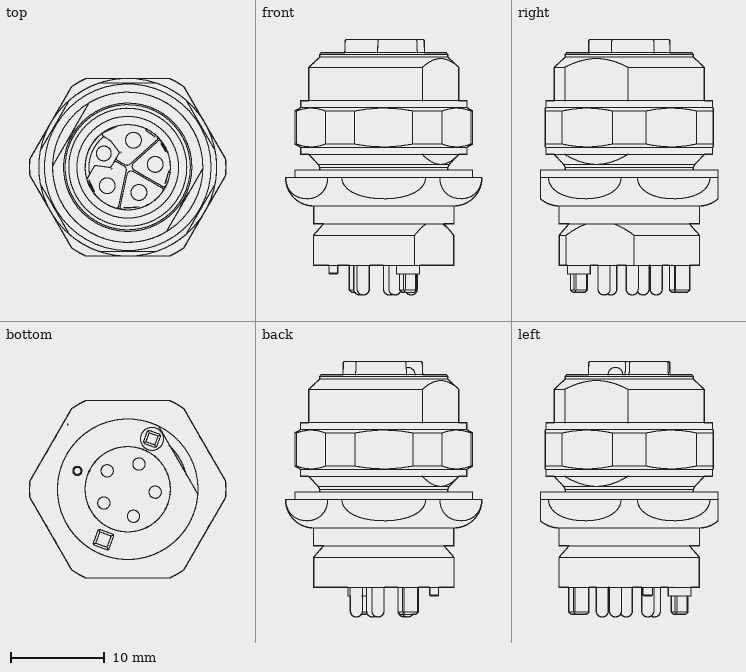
import cadquery as cq
import math


TAB_BOTTOM = 0.3
STUB_BOTTOM = 2.25
HOUSING_BOTTOM = 3.17
REAR_THREAD_TOP = 6.4
LOWER_RING_BOTTOM = 7.62
FLANGE_BOTTOM = 9.5
FLANGE_TOP = 12.55
SEAL_TOP = 13.38
NECK_TOP = 13.62
UNDERCUT_TOP = 13.92
NUT_BOTTOM = 15.02
NUT_TOP = 20.78
THREAD_TOP = 24.32
NOSE_BOTTOM = 25.42
RIM_TOP = 25.88
INSERT_TOP = 27.3

THREAD_RADIUS = 8.03
THREAD_FLAT = 7.02
REAR_THREAD_RADIUS = 7.5
REAR_FLAT = 6.22
FLAT_ANGLE = -30.0
NOSE_RADIUS = 6.85
UNDERCUT_RADIUS = 7.0
REAR_NECK_RADIUS = 6.45
RIM_CHAMFER = 0.16
BORE_RADIUS = 5.43
BORE_MOUTH_RADIUS = 6.3
BORE_MOUTH_DEPTH = 1.1
FLANGE_ACROSS_FLATS = 19.0
FLANGE_DIAMETER = 21.0
FLANGE_RADIUS = FLANGE_DIAMETER / 2

NUT_ACROSS_FLATS = 17.95
NUT_RADIUS = FLANGE_ACROSS_FLATS / 2
NUT_COLLAR_RADIUS = 8.9
NUT_COLLAR_HEIGHT = 0.76
NUT_CHAMFER_ANGLE = 30.0

INSERT_TOP_RADIUS = 4.35
DRAFT_ANGLE = 1.5
SOCKET_DEPTH = 8.2
SLOT_WIDTH = 0.5
SLOT_DEPTH = 6.28
WEDGE_TIP_RADIUS = 0.5
EDGE_RADIUS = 0.2
CORNER_RADIUS = 0.22
POCKET_DEPTH = 7.37
POCKET_FLOOR_RADIUS = 4.15
POCKET_INNER = 1.36
POCKET_SHOULDER = 2.95
POCKET_INNER_HALF_WIDTH = 1.06
POCKET_SHOULDER_HALF_WIDTH = 1.72
POCKET_OUTER_HALF_WIDTH = 1.85

CONTACT_COUNT = 5
CONTACT_CIRCLE_RADIUS = 2.95
PIN_ANGLE = 150.0
PIN_RADIUS = 0.8
PIN_SETBACK = 0.63
PIN_TOP = INSERT_TOP - PIN_SETBACK
SOCKET_HOLE_RADIUS = 0.85
SOCKET_HOLE_DEPTH = 6.0
TAIL_RADIUS = 0.65

TAB_X = 2.6
TAB_Y = -5.38
TAB_TURN = 20.0
TAB_END_CHAMFER = 0.25
SMALL_TAB_SIDE = 1.5
SMALL_TAB_CORNER = 0.16
TAB_COLLAR_RADIUS = 1.23
LARGE_TAB_SIDE = 1.77
LARGE_TAB_CORNER = 0.1
PEG_X = -5.38
PEG_Y = -1.97
PEG_RADIUS = 0.5
PEG_CHAMFER = 0.1

DRAFT_SLOPE = math.tan(math.radians(DRAFT_ANGLE))
SOCKET_FLOOR = INSERT_TOP - SOCKET_DEPTH
INSERT_BASE_RADIUS = INSERT_TOP_RADIUS + SOCKET_DEPTH * DRAFT_SLOPE
CONTACT_PITCH = 360.0 / CONTACT_COUNT
FLAT_CUTTER_SIZE = 27.3


def revolved(points):
    """Solid of revolution about Z from a closed list of (radius, z) points."""
    return cq.Workplane("XZ").polyline(points).close().revolve(360, (0, 0), (0, 1))


def cylinder(radius, bottom, top, x=0.0, y=0.0):
    return cq.Workplane("XY", origin=(x, y, bottom)).circle(radius).extrude(top - bottom)


def tube(outer_radius, inner_radius, bottom, top):
    return cylinder(outer_radius, bottom, top).cut(cylinder(inner_radius, bottom, top))


def hex_prism(across_flats, bottom, top):
    """Hexagon with flats facing +Y and -Y."""
    corner_diameter = across_flats / math.cos(math.pi / 6)
    return cq.Workplane("XY", origin=(0, 0, bottom)).polygon(6, corner_diameter).extrude(top - bottom)


def outside_flat(distance, angle, bottom, top):
    """Block that removes everything farther than distance from the axis towards angle."""
    size = FLAT_CUTTER_SIZE
    block = cq.Workplane("XY", origin=(0, 0, bottom)).rect(size, size).extrude(top - bottom)
    return block.translate((distance + size / 2, 0, 0)).rotate((0, 0, 0), (0, 0, 1), angle)


def make_flange():
    """Hexagonal flange whose underside is rounded by a revolved arc."""
    curve_radius = FLANGE_RADIUS - REAR_THREAD_RADIUS
    drop = FLANGE_TOP - FLANGE_BOTTOM
    arc_mid = (
        REAR_THREAD_RADIUS + curve_radius * math.sqrt(0.5),
        FLANGE_TOP - drop * math.sqrt(0.5),
    )
    dome = (
        cq.Workplane("XZ")
        .moveTo(0, FLANGE_BOTTOM)
        .lineTo(REAR_THREAD_RADIUS, FLANGE_BOTTOM)
        .threePointArc(arc_mid, (FLANGE_RADIUS, FLANGE_TOP))
        .lineTo(0, FLANGE_TOP)
        .close()
        .revolve(360, (0, 0), (0, 1))
    )
    return dome.intersect(hex_prism(FLANGE_ACROSS_FLATS, FLANGE_BOTTOM, FLANGE_TOP))


def make_tab(x, y, side, corner):
    """Square solder tab with bevelled corners and a bevelled end."""
    length = HOUSING_BOTTOM - TAB_BOTTOM
    blank = cq.Workplane("XY", origin=(0, 0, TAB_BOTTOM)).rect(side, side).extrude(length)
    bevelled_end = blank.faces("<Z").chamfer(TAB_END_CHAMFER)
    tab = blank.edges("|Z").chamfer(corner).intersect(bevelled_end)
    return tab.rotate((0, 0, 0), (0, 0, 1), TAB_TURN).translate((x, y, 0))


def make_housing():
    front_thread = revolved(
        [
            (0, FLANGE_TOP),
            (NOSE_RADIUS, FLANGE_TOP),
            (NOSE_RADIUS, NECK_TOP),
            (UNDERCUT_RADIUS, UNDERCUT_TOP),
            (THREAD_RADIUS, NUT_BOTTOM),
            (THREAD_RADIUS, THREAD_TOP),
            (NOSE_RADIUS, NOSE_BOTTOM),
            (NOSE_RADIUS, RIM_TOP - RIM_CHAMFER),
            (NOSE_RADIUS - RIM_CHAMFER, RIM_TOP),
            (0, RIM_TOP),
        ]
    )
    for angle in (FLAT_ANGLE, FLAT_ANGLE + 180):
        front_thread = front_thread.cut(outside_flat(THREAD_FLAT, angle, FLANGE_TOP, RIM_TOP))

    rear_thread = revolved(
        [
            (0, HOUSING_BOTTOM),
            (REAR_THREAD_RADIUS, HOUSING_BOTTOM),
            (REAR_THREAD_RADIUS, REAR_THREAD_TOP),
            (REAR_NECK_RADIUS, LOWER_RING_BOTTOM),
            (REAR_NECK_RADIUS, FLANGE_BOTTOM),
            (0, FLANGE_BOTTOM),
        ]
    )
    rear_thread = rear_thread.cut(outside_flat(REAR_FLAT, FLAT_ANGLE, HOUSING_BOTTOM, LOWER_RING_BOTTOM))

    socket = revolved(
        [
            (0, SOCKET_FLOOR),
            (BORE_RADIUS, SOCKET_FLOOR),
            (BORE_RADIUS, RIM_TOP - BORE_MOUTH_DEPTH),
            (BORE_MOUTH_RADIUS, RIM_TOP),
            (0, RIM_TOP),
        ]
    )
    insert_seat = cylinder(INSERT_BASE_RADIUS, HOUSING_BOTTOM, SOCKET_FLOOR)

    small_tab = make_tab(TAB_X, TAB_Y, SMALL_TAB_SIDE, SMALL_TAB_CORNER)
    tab_collar = cylinder(TAB_COLLAR_RADIUS, STUB_BOTTOM, HOUSING_BOTTOM, TAB_X, TAB_Y)
    large_tab = make_tab(-TAB_X, -TAB_Y, LARGE_TAB_SIDE, LARGE_TAB_CORNER)
    peg = cylinder(PEG_RADIUS, STUB_BOTTOM, HOUSING_BOTTOM, PEG_X, PEG_Y).faces("<Z").chamfer(PEG_CHAMFER)

    housing = front_thread.union(make_flange()).union(rear_thread).cut(socket).cut(insert_seat)
    for board_feature in (small_tab, tab_collar, large_tab, peg):
        housing = housing.union(board_feature)
    return housing


def make_nut():
    """Hexagon nut with rounded corners, bevelled ends and a round collar at each end."""
    hex_bottom = NUT_BOTTOM + NUT_COLLAR_HEIGHT
    hex_top = NUT_TOP - NUT_COLLAR_HEIGHT
    bevel = (NUT_RADIUS - NUT_COLLAR_RADIUS) * math.tan(math.radians(NUT_CHAMFER_ANGLE))
    blank = revolved(
        [
            (THREAD_RADIUS, NUT_BOTTOM),
            (NUT_COLLAR_RADIUS, NUT_BOTTOM),
            (NUT_COLLAR_RADIUS, hex_bottom),
            (NUT_RADIUS, hex_bottom + bevel),
            (NUT_RADIUS, hex_top - bevel),
            (NUT_COLLAR_RADIUS, hex_top),
            (NUT_COLLAR_RADIUS, NUT_TOP),
            (THREAD_RADIUS, NUT_TOP),
        ]
    )
    return blank.intersect(hex_prism(NUT_ACROSS_FLATS, NUT_BOTTOM, NUT_TOP))


def make_flange_seal():
    return tube(FLANGE_ACROSS_FLATS / 2, NOSE_RADIUS, FLANGE_TOP, SEAL_TOP)


def make_lower_ring():
    return tube(REAR_THREAD_RADIUS, REAR_NECK_RADIUS, LOWER_RING_BOTTOM, FLANGE_BOTTOM)


def drafted_slot(angle):
    """Radial slot from the axis outwards, narrowing with the draft towards its floor."""
    half_top = SLOT_WIDTH / 2
    half_floor = half_top - SLOT_DEPTH * DRAFT_SLOPE
    floor = INSERT_TOP - SLOT_DEPTH
    section = [(-half_top, INSERT_TOP), (half_top, INSERT_TOP), (half_floor, floor), (-half_floor, floor)]
    slot = cq.Workplane("YZ").polyline(section).close().extrude(BORE_RADIUS)
    return slot.rotate((0, 0, 0), (0, 0, 1), angle)


def key_pocket():
    """Pocket round the pin: flared sides, with a wider key step on one side only."""
    outer = BORE_RADIUS
    outline = [
        (POCKET_INNER, -POCKET_INNER_HALF_WIDTH),
        (POCKET_SHOULDER, -POCKET_SHOULDER_HALF_WIDTH),
        (outer, -POCKET_OUTER_HALF_WIDTH),
        (outer, outer),
        (POCKET_SHOULDER, outer),
        (POCKET_SHOULDER, POCKET_SHOULDER_HALF_WIDTH),
        (POCKET_INNER, POCKET_INNER_HALF_WIDTH),
    ]
    floor_height = INSERT_TOP - POCKET_DEPTH
    draft = POCKET_DEPTH * DRAFT_SLOPE
    mouth = cq.Workplane("XY", origin=(0, 0, INSERT_TOP)).polyline(outline).close()
    floor = cq.Workplane("XY", origin=(0, 0, floor_height)).polyline(outline).close()
    floor = floor.offset2D(-draft, "intersection")
    pocket = cq.Workplane(cq.Solid.makeLoft([mouth.val(), floor.val()], True))

    bevel = INSERT_BASE_RADIUS - POCKET_FLOOR_RADIUS
    bevel_ring = revolved(
        [
            (POCKET_FLOOR_RADIUS, floor_height),
            (INSERT_BASE_RADIUS, floor_height),
            (INSERT_BASE_RADIUS, floor_height - bevel),
        ]
    )
    pocket = pocket.union(bevel_ring.intersect(floor.extrude(-bevel)))
    return pocket.rotate((0, 0, 0), (0, 0, 1), PIN_ANGLE)


def upright_edges(body, inner, outer):
    """Edges between two distances from the axis whose middle is inside the slot height."""
    lowest = INSERT_TOP - SLOT_DEPTH
    found = []
    for edge in body.edges().vals():
        middle = edge.Center()
        beside_slots = lowest < middle.z < INSERT_TOP - CORNER_RADIUS
        if beside_slots and inner < math.hypot(middle.x, middle.y) < outer:
            found.append(edge)
    return body.newObject(found)


def round_rod(radius, bottom, top, x, y, round_end):
    """Upright rod with a hemispherical end at its top (">Z") or bottom ("<Z")."""
    if round_end == ">Z":
        tip_height = top - radius
        shaft = cylinder(radius, bottom, tip_height, x, y)
    else:
        tip_height = bottom + radius
        shaft = cylinder(radius, tip_height, top, x, y)
    ball = cq.Workplane("XY", origin=(x, y, tip_height)).sphere(radius)
    return shaft.union(ball)


def contact_angle(index):
    return PIN_ANGLE + index * CONTACT_PITCH


def contact_place(index):
    angle = math.radians(contact_angle(index))
    return CONTACT_CIRCLE_RADIUS * math.cos(angle), CONTACT_CIRCLE_RADIUS * math.sin(angle)


def make_insert():
    insert = revolved(
        [
            (0, HOUSING_BOTTOM),
            (INSERT_BASE_RADIUS, HOUSING_BOTTOM),
            (INSERT_BASE_RADIUS, SOCKET_FLOOR),
            (INSERT_TOP_RADIUS, INSERT_TOP),
            (0, INSERT_TOP),
        ]
    )
    insert = insert.rotate((0, 0, 0), (0, 0, 1), contact_angle(1.5))

    slots = drafted_slot(PIN_ANGLE)
    for index in range(1, CONTACT_COUNT - 1):
        slots = slots.union(drafted_slot(contact_angle(index + 0.5)))
    insert = insert.cut(slots).cut(key_pocket())
    insert = upright_edges(insert, SLOT_WIDTH, BORE_RADIUS).fillet(CORNER_RADIUS)
    insert = upright_edges(insert, 0, SLOT_WIDTH).fillet(WEDGE_TIP_RADIUS)
    insert = insert.faces(">Z").edges().fillet(EDGE_RADIUS)

    for index in range(CONTACT_COUNT):
        x, y = contact_place(index)
        if index == 0:
            insert = insert.union(round_rod(PIN_RADIUS, INSERT_TOP - POCKET_DEPTH, PIN_TOP, x, y, ">Z"))
        else:
            hole_bottom = INSERT_TOP - SOCKET_HOLE_DEPTH
            insert = insert.cut(cylinder(SOCKET_HOLE_RADIUS, hole_bottom, INSERT_TOP, x, y))
        insert = insert.union(round_rod(TAIL_RADIUS, 0, HOUSING_BOTTOM, x, y, "<Z"))
    return insert


housing = make_housing()
nut = make_nut()
flange_seal = make_flange_seal()
lower_ring = make_lower_ring()
insert = make_insert()
result = cq.Compound.makeCompound(
    [housing.val(), nut.val(), flange_seal.val(), lower_ring.val(), insert.val()]
)